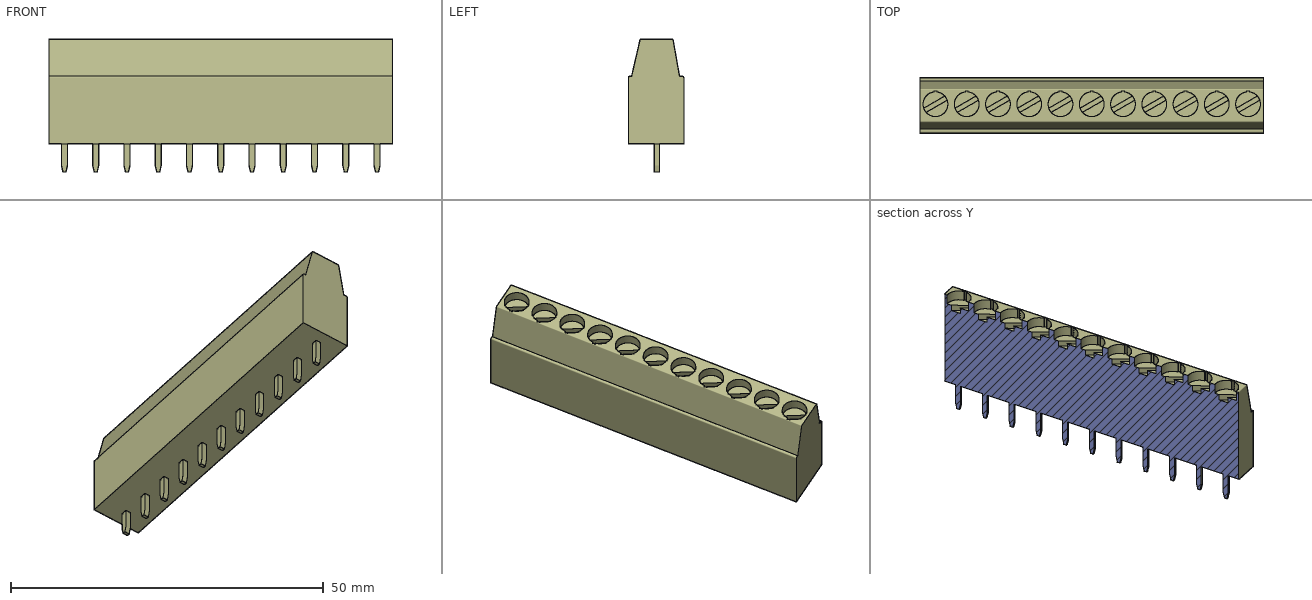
import cadquery as cq

pole_count = 11
length = 55.0
pitch = length / pole_count
depth = 8.9
body_height = 16.8
front_y = -depth / 2
back_y = depth / 2

shoulder_height = 10.85
front_ledge = 0.7
back_ledge = 0.5
top_front_y = -2.7
top_back_y = 2.6
top_front_radius = 0.3
top_back_radius = 0.15
end_radius = 0.15
front_shoulder_radius = 0.35
back_shoulder_radius = 0.2

well_y = 0.2
well_diameter = 3.95
well_depth = 1.7
notch_width = 0.45
notch_depth = 0.15
slot_width = 0.75
slot_depth = 1.0
slot_angle = 30

pin_width = 1.0
pin_thickness = 0.9
pin_y = -0.1
pin_length = 4.5
tip_length = 1.05
tip_width = 0.5


def housing():
    """Tapered block centred on X, with rounded long edges and a rounded rim on its +X end."""
    profile = [
        (front_y, 0),
        (front_y, shoulder_height),
        (front_y + front_ledge, shoulder_height),
        (top_front_y, body_height),
        (top_back_y, body_height),
        (back_y - back_ledge, shoulder_height),
        (back_y, shoulder_height),
        (back_y, 0),
    ]
    body = cq.Workplane("YZ").polyline(profile).close().extrude(length / 2, both=True)
    rounded_edges = [
        (0, top_front_y, body_height, top_front_radius),
        (length / 2, 0, body_height, end_radius),
        (0, top_back_y, body_height, top_back_radius),
        (0, front_y, shoulder_height, front_shoulder_radius),
        (0, back_y, shoulder_height, back_shoulder_radius),
    ]
    for x, y, z, radius in rounded_edges:
        edge = cq.selectors.NearestToPointSelector((x, y, z))
        body = body.edges(edge).fillet(radius)
    return body


def screw_well():
    """Cutting shape for a round well, the notch in its back wall and the driver slot in its floor."""
    floor_height = body_height - well_depth
    well_floor = cq.Workplane("XY").workplane(offset=floor_height)
    slot_floor = cq.Workplane("XY").workplane(offset=floor_height - slot_depth)
    well = well_floor.circle(well_diameter / 2).extrude(well_depth)
    notch_reach = well_diameter / 2 + notch_depth
    notch = well_floor.center(0, notch_reach / 2).rect(notch_width, notch_reach).extrude(well_depth)
    screw_head = slot_floor.circle(well_diameter / 2).extrude(slot_depth)
    slot = slot_floor.rect(well_diameter, slot_width).extrude(slot_depth)
    slot = slot.rotate((0, 0, 0), (0, 0, 1), slot_angle).intersect(screw_head)
    return well.union(notch).union(slot)


def solder_pin():
    """Flat pin below the housing, tapering in width towards its tip."""
    taper_start = tip_length - pin_length
    outline = [
        (-pin_width / 2, 0),
        (-pin_width / 2, taper_start),
        (-tip_width / 2, -pin_length),
        (tip_width / 2, -pin_length),
        (pin_width / 2, taper_start),
        (pin_width / 2, 0),
    ]
    return cq.Workplane("XZ").polyline(outline).close().extrude(pin_thickness / 2, both=True)


result = housing()
for pole in range(pole_count):
    pole_x = (pole - (pole_count - 1) / 2) * pitch
    result = result.cut(screw_well().translate((pole_x, well_y, 0)))
    result = result.union(solder_pin().translate((pole_x, pin_y, 0)))